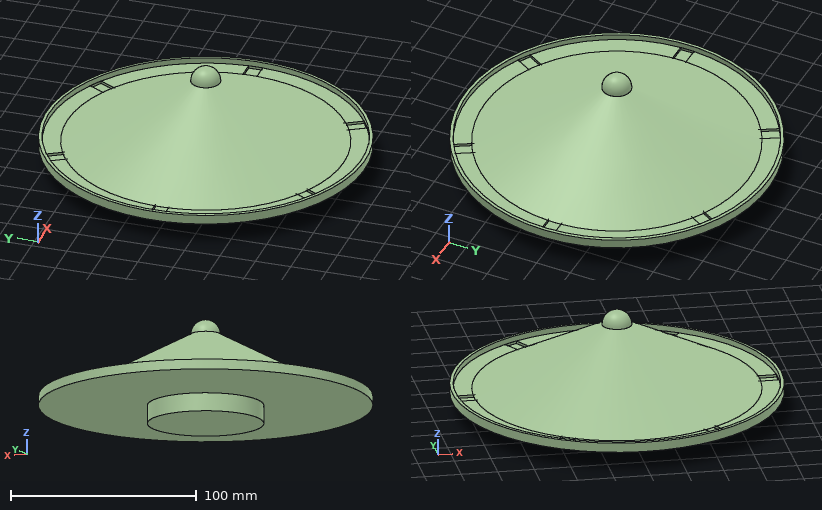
import cadquery as cq

plate_diameter = 180.0
plate_height = 5.4
rim_inner_diameter = 176.0
floor_height = 2.2

cone_base_diameter = 156.0
cone_top_height = 39.0
ball_diameter = 16.2

hub_diameter = 62.6
hub_height = 9.9

slot_count = 6
slot_width = 8.0
slot_depth = 1.5
slot_reach_under_cone = 3.6


def make_plate():
    """Flat disc whose upper face is recessed inside the rim."""
    disc = cq.Workplane("XY").circle(plate_diameter / 2).extrude(plate_height)
    recess = (
        cq.Workplane("XY", origin=(0, 0, floor_height))
        .circle(rim_inner_diameter / 2)
        .extrude(plate_height - floor_height)
    )
    return disc.cut(recess)


def cut_slots(plate):
    """Cut evenly spaced straight slots into the floor of the plate."""
    outer_end = rim_inner_diameter / 2
    inner_end = cone_base_diameter / 2 - slot_reach_under_cone
    slot = (
        cq.Workplane("XY", origin=(0, 0, floor_height))
        .center((outer_end + inner_end) / 2, 0)
        .rect(outer_end - inner_end, slot_width)
        .extrude(-slot_depth)
    )
    for index in range(slot_count):
        plate = plate.cut(slot.rotate((0, 0, 0), (0, 0, 1), index * 360 / slot_count))
    return plate


def make_roof():
    """Cone and half ball, revolved about Z as one profile."""
    base_radius = cone_base_diameter / 2
    ball_radius = ball_diameter / 2
    profile = (
        cq.Workplane("XZ")
        .moveTo(0, floor_height)
        .lineTo(base_radius, floor_height)
        .lineTo(ball_radius, cone_top_height)
        .radiusArc((0, cone_top_height + ball_radius), -ball_radius)
        .close()
    )
    return profile.revolve(360, (0, 0, 0), (0, 1, 0))


def make_hub():
    """Solid round hub below the plate."""
    return cq.Workplane("XY").circle(hub_diameter / 2).extrude(-hub_height)


result = cut_slots(make_plate()).union(make_roof()).union(make_hub())